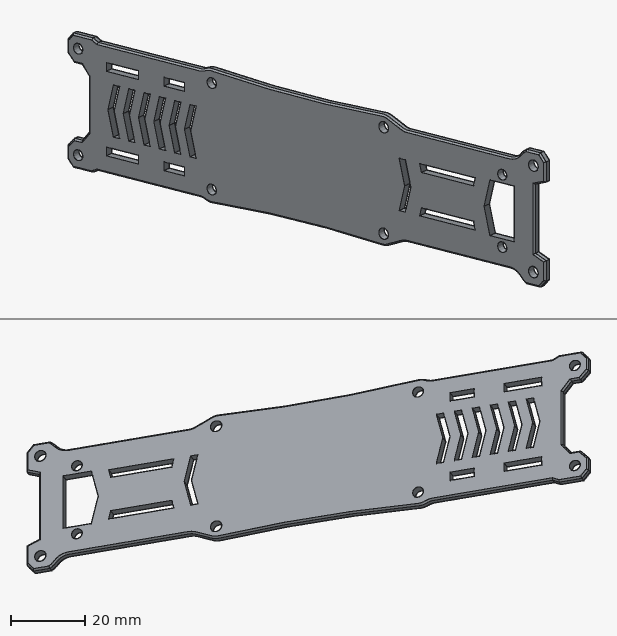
import cadquery as cq

length = 161.19
width = 38.64
thickness = 2.5
rim_chamfer = 0.5
end_x = length / 2
edge_z = width / 2

corner_run = 1.9
corner_rise = 2.2

left_notch_x = -73.3
left_notch_z = 8.0
left_notch_bevel_run = 2.4
left_ear_inner_z = 10.9
left_ear_bevel_x = -78.3
left_ear_side_z = 13.35
left_ear_top_end_x = -72.1

left_deck_z = 18.4
left_deck_start_x = -70.3
left_deck_end_x = -36.0

shoulder_blend_x = -34.2
shoulder_blend_z = 18.8
middle_start_x = -31.3
middle_start_z = 19.25
middle_low_z = 18.1
middle_end_x = 25.5
middle_end_z = 18.85

ramp_start_x = 27.6
ramp_start_z = 18.45
ramp_end_x = 32.2
ramp_end_z = 16.4
right_deck_z = 16.0
right_deck_start_x = 33.8
right_deck_end_x = 68.5

right_ear_blend_x = 72.1
right_ear_blend_z = 17.7
right_ear_top_start_x = 74.0
right_ear_side_z = 11.3
right_notch_x = 77.0
right_notch_z = 9.9

mount_hole_z = 15.3
left_mount_hole_diameter = 3.05
left_mount_hole_xs = (-76.8, -31.8)
right_mount_hole_diameter = 3.2
right_mount_hole_xs = (26.15, 76.6)
window_hole_diameter = 3.0
window_hole_x = 66.1
window_hole_z = 10.4

chevron_half_height = 7.5
chevron_depth = 1.85
chevron_width = 2.05
chevron_slope = chevron_depth / chevron_half_height
vent_count = 6
vent_pitch = 5.16
first_vent_tip_x = -66.75
rear_chevron_tip_x = 35.3

strap_slot_center_z = 12.15
strap_slot_height = 2.5
long_strap_slot = (-67.3, -56.5)
short_strap_slot = (-47.9, -41.0)

side_slot_start_x = 38.3
side_slot_end_x = 57.0
side_slot_inner_z = 5.1

window_tip_x = 60.0
window_right_x = 70.1
window_half_height = 8.0


def plate_blank():
    """Chamfered plate: half the outline is drawn and mirrored about the long axis."""
    half = (
        cq.Workplane("XZ")
        .moveTo(left_notch_x, 0)
        .lineTo(left_notch_x, left_notch_z)
        .lineTo(left_notch_x - left_notch_bevel_run, left_ear_inner_z)
        .lineTo(left_ear_bevel_x, left_ear_inner_z)
        .lineTo(-end_x, left_ear_side_z)
        .lineTo(-end_x, edge_z - corner_rise)
        .lineTo(-end_x + corner_run, edge_z)
        .lineTo(left_ear_top_end_x, edge_z)
        .lineTo(left_deck_start_x, left_deck_z)
        .lineTo(left_deck_end_x, left_deck_z)
    )
    middle_low = ((middle_start_x + middle_end_x) / 2, middle_low_z)
    half = (
        half.tangentArcPoint((shoulder_blend_x, shoulder_blend_z), relative=False)
        .tangentArcPoint((middle_start_x, middle_start_z), relative=False)
        .threePointArc(middle_low, (middle_end_x, middle_end_z))
        .tangentArcPoint((ramp_start_x, ramp_start_z), relative=False)
    )
    half = (
        half.lineTo(ramp_end_x, ramp_end_z)
        .tangentArcPoint((right_deck_start_x, right_deck_z), relative=False)
        .lineTo(right_deck_end_x, right_deck_z)
        .tangentArcPoint((right_ear_blend_x, right_ear_blend_z), relative=False)
        .tangentArcPoint((right_ear_top_start_x, edge_z), relative=False)
        .lineTo(end_x - corner_run, edge_z)
        .lineTo(end_x, edge_z - corner_rise)
        .lineTo(end_x, right_ear_side_z)
        .lineTo(right_notch_x, right_notch_z)
        .lineTo(right_notch_x, 0)
        .close()
        .extrude(thickness / 2, both=True)
    )
    blank = half.union(half.mirror("XY")).clean()
    return blank.faces("<Y or >Y").chamfer(rim_chamfer)


def prism(points):
    """Cutter through the full thickness with the given (X, Z) corners."""
    return cq.Workplane("XZ").polyline(points).close().extrude(thickness, both=True)


def round_holes(diameter, xs, z):
    """Cutter for holes at the given X places, mirrored at +z and -z."""
    centers = [(x, side * z) for x in xs for side in (1, -1)]
    return cq.Workplane("XZ").pushPoints(centers).circle(diameter / 2).extrude(thickness, both=True)


def chevron(tip_x, direction):
    """V-shaped slot whose outer tip is at tip_x and points toward direction (+1 or -1 along X)."""
    arm_x = tip_x - direction * chevron_slope * chevron_half_height
    inner_shift = direction * chevron_width
    return prism(
        [
            (tip_x, 0),
            (arm_x, chevron_half_height),
            (arm_x - inner_shift, chevron_half_height),
            (tip_x - inner_shift, 0),
            (arm_x - inner_shift, -chevron_half_height),
            (arm_x, -chevron_half_height),
        ]
    )


def strap_slot(x_range, side):
    """Rectangular slot on the upper (+1) or lower (-1) side."""
    slot_start, slot_end = x_range
    low = side * (strap_slot_center_z - strap_slot_height / 2)
    high = side * (strap_slot_center_z + strap_slot_height / 2)
    return prism([(slot_start, low), (slot_end, low), (slot_end, high), (slot_start, high)])


def side_slot(side):
    """Slot with ends parallel to the chevron arms, on the upper (+1) or lower (-1) side."""
    taper = chevron_slope * (chevron_half_height - side_slot_inner_z)
    outer = side * chevron_half_height
    inner = side * side_slot_inner_z
    return prism(
        [
            (side_slot_start_x, outer),
            (side_slot_end_x, outer),
            (side_slot_end_x - taper, inner),
            (side_slot_start_x + taper, inner),
        ]
    )


def window():
    """Five-sided opening with its point toward -X."""
    shoulder_x = window_tip_x + chevron_slope * window_half_height
    return prism(
        [
            (window_tip_x, 0),
            (shoulder_x, window_half_height),
            (window_right_x, window_half_height),
            (window_right_x, -window_half_height),
            (shoulder_x, -window_half_height),
        ]
    )


result = plate_blank()
result = result.cut(round_holes(left_mount_hole_diameter, left_mount_hole_xs, mount_hole_z))
result = result.cut(round_holes(right_mount_hole_diameter, right_mount_hole_xs, mount_hole_z))
result = result.cut(round_holes(window_hole_diameter, [window_hole_x], window_hole_z))
for index in range(vent_count):
    result = result.cut(chevron(first_vent_tip_x + index * vent_pitch, -1))
result = result.cut(chevron(rear_chevron_tip_x, 1))
for side in (1, -1):
    result = result.cut(strap_slot(long_strap_slot, side))
    result = result.cut(strap_slot(short_strap_slot, side))
    result = result.cut(side_slot(side))
result = result.cut(window())